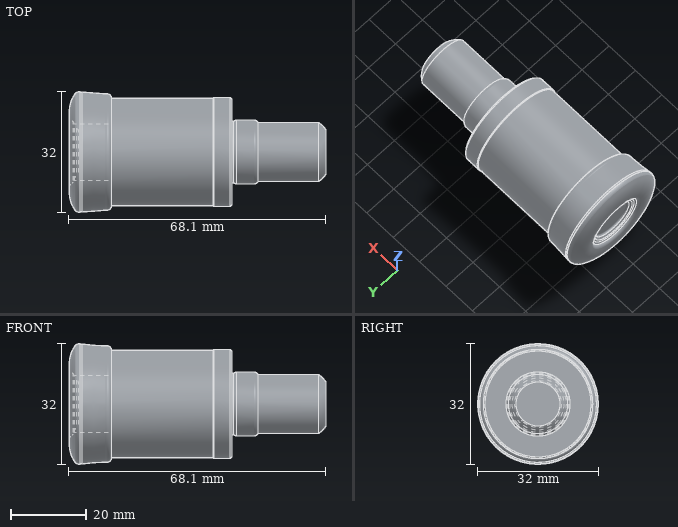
import cadquery as cq
import math

TOTAL_LENGTH = 68.1

CAP_LENGTH = 11.3
CAP_RADIUS = 16.0
CROWN_RADIUS = 10.6
DOME_RADIUS = 8.2
RIM_START_RADIUS = 15.5
RIM_MID_X = 2.1
RIM_MID_RADIUS = 15.85
GROOVE_START_X = 2.85
GROOVE_END_X = 3.4
GROOVE_DEPTH = 0.15
TAPER_START_RADIUS = 15.9
TAPER_END_X = 9.7
TAPER_END_RADIUS = 15.45
CAP_BACK_RADIUS = 14.5
BACK_ROUND_MID_X = 10.6
BACK_ROUND_MID_RADIUS = 15.3
BACK_ROUND_END_X = 11.0
BACK_ROUND_END_RADIUS = 15.0
MOUTH_RADIUS = 9.0
LIP_MID_X = 0.55
LIP_MID_RADIUS = 8.4
LIP_X = 1.1
LIP_RADIUS = 8.1
CAP_BORE_RADIUS = 7.5
CAP_BORE_X = 1.35

BARREL_RADIUS = 28.6 / 2
COLLAR_RADIUS = 29.0 / 2
COLLAR_START_X = 38.1
COLLAR_END_X = 43.15
COLLAR_CHAMFER = 0.5
COLLAR_FRONT_CHAMFER = COLLAR_RADIUS - BARREL_RADIUS
NECK_RADIUS = 8.25
NECK_END_X = 43.55
SEAT_RADIUS = 17.0 / 2
SEAT_START_X = 44.3
SEAT_END_X = 49.1
SHANK_RADIUS = 15.7 / 2
SEAT_ROUND_MID_X = 49.6
SEAT_ROUND_MID_RADIUS = 8.3
SHANK_START_X = 50.1
END_ROUND = 2.05
END_ROUND_BULGE = 0.15

RECESS_MOUTH_X = 1.5
RECESS_MOUTH_RADIUS = 6.9
RECESS_RADIUS = 6.2
FLOOR_X = 2.45
FLOOR_RADIUS = 5.7
FLOOR_FILLET = RECESS_RADIUS - FLOOR_RADIUS


def turn(outline):
    """Close an outline and revolve it about the X axis."""
    return outline.close().revolve(360, (0, 0, 0), (1, 0, 0))


def dome_x(radius):
    """X of the domed face at a given distance from the axis."""
    return DOME_RADIUS - math.sqrt(DOME_RADIUS**2 - (radius - CROWN_RADIUS)**2)


def make_cap():
    """Domed ring that fits over the spigot and rests on the barrel."""
    mouth = (dome_x(MOUTH_RADIUS), MOUTH_RADIUS)
    rim_start = (dome_x(RIM_START_RADIUS), RIM_START_RADIUS)
    groove_radius = CAP_RADIUS - GROOVE_DEPTH
    outline = (
        cq.Workplane("XY")
        .moveTo(*mouth)
        .threePointArc((0, CROWN_RADIUS), rim_start)
        .threePointArc((RIM_MID_X, RIM_MID_RADIUS), (GROOVE_START_X, CAP_RADIUS))
        .lineTo(GROOVE_START_X, groove_radius)
        .lineTo(GROOVE_END_X, groove_radius)
        .lineTo(GROOVE_END_X, TAPER_START_RADIUS)
        .lineTo(TAPER_END_X, TAPER_END_RADIUS)
        .threePointArc(
            (BACK_ROUND_MID_X, BACK_ROUND_MID_RADIUS),
            (BACK_ROUND_END_X, BACK_ROUND_END_RADIUS),
        )
        .lineTo(CAP_LENGTH, CAP_BACK_RADIUS)
        .lineTo(CAP_LENGTH, CAP_BORE_RADIUS)
        .lineTo(CAP_BORE_X, CAP_BORE_RADIUS)
        .lineTo(LIP_X, LIP_RADIUS)
        .threePointArc((LIP_MID_X, LIP_MID_RADIUS), mouth)
    )
    return turn(outline)


def make_housing():
    """Barrel, collar and shank in one piece, with a recessed spigot inside the cap."""
    fillet_start_x = FLOOR_X - FLOOR_FILLET
    fillet_reach = FLOOR_FILLET * math.sqrt(0.5)
    fillet_mid = (fillet_start_x + fillet_reach, FLOOR_RADIUS + fillet_reach)
    end_round_mid = (
        TOTAL_LENGTH - END_ROUND / 2 + END_ROUND_BULGE,
        SHANK_RADIUS - END_ROUND / 2 + END_ROUND_BULGE,
    )
    outline = (
        cq.Workplane("XY")
        .moveTo(FLOOR_X, 0)
        .lineTo(FLOOR_X, FLOOR_RADIUS)
        .threePointArc(fillet_mid, (fillet_start_x, RECESS_RADIUS))
        .lineTo(RECESS_MOUTH_X, RECESS_MOUTH_RADIUS)
        .lineTo(CAP_BORE_X, CAP_BORE_RADIUS)
        .lineTo(CAP_LENGTH, CAP_BORE_RADIUS)
        .lineTo(CAP_LENGTH, BARREL_RADIUS)
        .lineTo(COLLAR_START_X, BARREL_RADIUS)
        .lineTo(COLLAR_START_X + COLLAR_FRONT_CHAMFER, COLLAR_RADIUS)
        .lineTo(COLLAR_END_X - COLLAR_CHAMFER, COLLAR_RADIUS)
        .lineTo(COLLAR_END_X, COLLAR_RADIUS - COLLAR_CHAMFER)
        .lineTo(COLLAR_END_X, NECK_RADIUS)
        .lineTo(NECK_END_X, NECK_RADIUS)
        .lineTo(SEAT_START_X, SEAT_RADIUS)
        .lineTo(SEAT_END_X, SEAT_RADIUS)
        .threePointArc((SEAT_ROUND_MID_X, SEAT_ROUND_MID_RADIUS), (SHANK_START_X, SHANK_RADIUS))
        .lineTo(TOTAL_LENGTH - END_ROUND, SHANK_RADIUS)
        .threePointArc(end_round_mid, (TOTAL_LENGTH, SHANK_RADIUS - END_ROUND))
        .lineTo(TOTAL_LENGTH, 0)
    )
    return turn(outline)


cap = make_cap()
housing = make_housing()

result = cq.Compound.makeCompound([cap.val(), housing.val()])